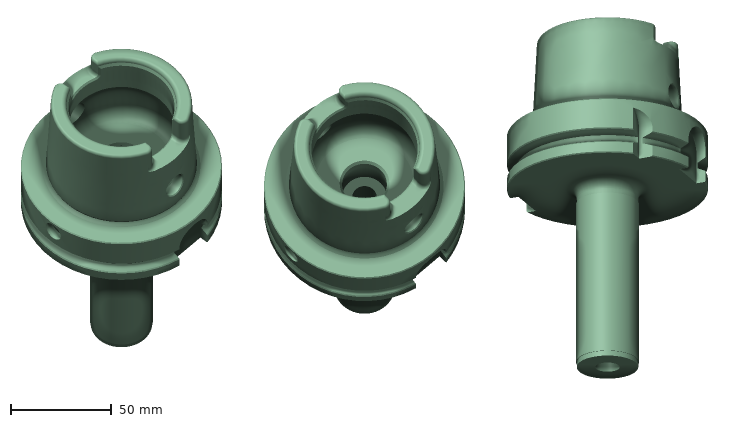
import cadquery as cq
import math

total_height = 173.9
arbor_length = 95.0
flange_height = 29.0
flange_radius = 50.0
flange_edge_chamfer = 0.5

groove_top_z = 107.8
groove_height = 6.8
groove_wall_height = 1.9
groove_floor_radius = 45.7

taper_base_radius = 37.5
taper_top_radius = 35.1
relief_radius = 37.0
relief_mouth_radius = 39.3
relief_mid_height = 1.0
relief_height = 2.3
rim_rounding = 1.5
rim_band_height = 1.7

bore_radius = 26.5
clamp_radius = 31.3
clamp_top_z = 153.5
clamp_floor_z = 127.3
clamp_floor_fillet = 6.8
mouth_radius = 29.5
mouth_rounding = 2.3
mouth_cone_height = 1.4

thread_radius = 11.1
thread_chamfer = 1.2
thread_depth = 17.4
passage_radius = 6.0

drive_slot_width = 20.3
drive_slot_corner = 3.5
drive_slot_floor_fillet = 2.0
drive_slot_edge_chamfer = 0.9
shallow_slot_depth = 10.0
deep_slot_depth = 15.0

cross_hole_radius = 6.0
cross_hole_z = 139.1
cross_hole_chamfer = 0.5

key_slot_width = 20.5
key_slot_top_z = 120.0
key_slot_floor_x = 44.0
side_notch_floor_x = 31.6
side_notch_edge_y = 31.3

chip_radius = 5.0
chip_depth = 4.5
chip_z = 117.2
chip_vent_radius = 0.7
chip_vent_depth = 3.5

core_radius = 15.3
arbor_root_fillet = 5.0
sleeve_radius = 15.7
sleeve_bottom_z = 2.6
sleeve_top_z = 87.3

gauge_z = arbor_length + flange_height
taper_base_z = gauge_z + relief_height
slot_cut_reach = flange_radius + 8.7


def revolve_profile(profile):
    """Turn a closed (radius, z) outline around the Z axis."""
    return profile.close().revolve(360, (0, 0, 0), (0, 1, 0))


def turned_body():
    """Outer shape of arbor core, flange and taper."""
    lip = flange_edge_chamfer
    groove_bottom_z = groove_top_z - groove_height
    root_z = arbor_length - arbor_root_fillet
    root_mid = arbor_root_fillet * (1 - math.sqrt(0.5))
    outline = (
        cq.Workplane("XZ")
        .moveTo(0, 0)
        .lineTo(core_radius, 0)
        .lineTo(core_radius, root_z)
        .threePointArc(
            (core_radius + root_mid, arbor_length - root_mid),
            (core_radius + arbor_root_fillet, arbor_length),
        )
        .lineTo(flange_radius - lip, arbor_length)
        .lineTo(flange_radius, arbor_length + lip)
        .lineTo(flange_radius, groove_bottom_z - lip)
        .lineTo(flange_radius - lip, groove_bottom_z)
        .lineTo(groove_floor_radius, groove_bottom_z + groove_wall_height)
        .lineTo(groove_floor_radius, groove_top_z - groove_wall_height)
        .lineTo(flange_radius - lip, groove_top_z)
        .lineTo(flange_radius, groove_top_z + lip)
        .lineTo(flange_radius, gauge_z - lip)
        .lineTo(flange_radius - lip, gauge_z)
        .lineTo(relief_mouth_radius, gauge_z)
        .lineTo(relief_radius, gauge_z + relief_mid_height)
        .lineTo(taper_base_radius, taper_base_z)
        .lineTo(taper_top_radius, total_height - rim_band_height)
        .lineTo(taper_top_radius, total_height)
        .lineTo(0, total_height)
    )
    return revolve_profile(outline)


def plain_bore():
    return (
        cq.Workplane("XY", origin=(0, 0, clamp_top_z))
        .circle(bore_radius)
        .extrude(total_height - clamp_top_z)
    )


def clamp_undercut():
    """Widened chamber below the bore, with a large fillet around its floor."""
    cone_height = (clamp_radius - bore_radius) * math.tan(math.radians(30))
    fillet_mid = clamp_floor_fillet * (1 - math.sqrt(0.5))
    outline = (
        cq.Workplane("XZ")
        .moveTo(0, clamp_floor_z)
        .lineTo(clamp_radius - clamp_floor_fillet, clamp_floor_z)
        .threePointArc(
            (clamp_radius - fillet_mid, clamp_floor_z + fillet_mid),
            (clamp_radius, clamp_floor_z + clamp_floor_fillet),
        )
        .lineTo(clamp_radius, clamp_top_z - cone_height)
        .lineTo(bore_radius, clamp_top_z)
        .lineTo(0, clamp_top_z)
    )
    return revolve_profile(outline)


def bore_mouth():
    """Rounded rim followed by a short cone down to the bore."""
    cone_top_radius = mouth_radius - mouth_rounding
    cone_top_z = total_height - mouth_rounding
    round_mid = mouth_rounding * (1 - math.sqrt(0.5))
    outline = (
        cq.Workplane("XZ")
        .moveTo(0, total_height)
        .lineTo(mouth_radius, total_height)
        .threePointArc(
            (cone_top_radius + round_mid, total_height - round_mid),
            (cone_top_radius, cone_top_z),
        )
        .lineTo(bore_radius, cone_top_z - mouth_cone_height)
        .lineTo(0, cone_top_z - mouth_cone_height)
    )
    return revolve_profile(outline)


def coolant_passage():
    """Threaded seat with a chamfered entry and the hole down through the arbor."""
    seat_z = clamp_floor_z - thread_depth
    outline = (
        cq.Workplane("XZ")
        .lineTo(passage_radius, 0)
        .lineTo(passage_radius, seat_z)
        .lineTo(thread_radius, seat_z)
        .lineTo(thread_radius, clamp_floor_z - thread_chamfer)
        .lineTo(thread_radius + thread_chamfer, clamp_floor_z)
        .lineTo(0, clamp_floor_z)
    )
    return revolve_profile(outline)


def drive_slot(side, depth):
    """Slot through the rim toward side * X that flares out to the taper surface."""
    half_width = drive_slot_width / 2
    centre_y = half_width + drive_slot_corner
    centre_x = math.sqrt((taper_top_radius - drive_slot_corner) ** 2 - centre_y**2)
    flare = math.atan2(centre_y, centre_x)

    def corner_point(angle):
        return (
            centre_x + drive_slot_corner * math.cos(angle),
            centre_y + drive_slot_corner * math.sin(angle),
        )

    arc_mid = corner_point((flare - math.pi / 2) / 2)
    arc_end = corner_point(flare)
    outer_x = slot_cut_reach * math.cos(flare)
    outer_y = slot_cut_reach * math.sin(flare)
    cutter = (
        cq.Workplane("XY", origin=(0, 0, total_height - depth))
        .moveTo(0, half_width)
        .lineTo(centre_x, half_width)
        .threePointArc(arc_mid, arc_end)
        .lineTo(outer_x, outer_y)
        .lineTo(outer_x, -outer_y)
        .lineTo(arc_end[0], -arc_end[1])
        .threePointArc((arc_mid[0], -arc_mid[1]), (centre_x, -half_width))
        .lineTo(0, -half_width)
        .close()
        .extrude(depth + 1.7)
        .faces("<Z")
        .edges("not(<X or >X)")
        .fillet(drive_slot_floor_fillet)
    )
    if side < 0:
        cutter = cutter.rotate((0, 0, 0), (0, 0, 1), 180)
    return cutter


def key_slot(floor_x, centre_y, side):
    """Round-topped slot in the flange with a flat floor facing side * X."""
    radius = key_slot_width / 2
    arch_z = key_slot_top_z - radius
    return (
        cq.Workplane("YZ", origin=(side * floor_x, 0, 0))
        .moveTo(centre_y - radius, arbor_length)
        .lineTo(centre_y - radius, arch_z)
        .threePointArc((centre_y, key_slot_top_z), (centre_y + radius, arch_z))
        .lineTo(centre_y + radius, arbor_length)
        .close()
        .extrude(side * slot_cut_reach)
    )


def chip_pocket():
    floor_y = chip_depth - flange_radius
    pocket = (
        cq.Workplane("XZ", origin=(0, floor_y, chip_z))
        .circle(chip_radius)
        .extrude(chip_depth + 1.7)
    )
    vent = (
        cq.Workplane("XZ", origin=(0, floor_y, chip_z))
        .circle(chip_vent_radius)
        .extrude(-chip_vent_depth)
    )
    return pocket.union(vent)


def cross_hole():
    return (
        cq.Workplane("YZ", origin=(-slot_cut_reach, 0, cross_hole_z))
        .circle(cross_hole_radius)
        .extrude(2 * slot_cut_reach)
    )


def round_rim(body):
    """Round the top outer edges, along the taper and around the ends of both lugs."""
    rim = body.faces(">Z").edges().filter(
        lambda edge: not (edge.geomType() == "CIRCLE" and abs(edge.radius() - bore_radius) < 0.02)
    )
    return rim.fillet(rim_rounding)


def chamfer_slot_edges(body, side):
    """Break the edges where the drive slot on side * X meets the bore."""
    half_width = drive_slot_width / 2
    near_x = math.sqrt(bore_radius**2 - half_width**2) - 0.2
    x_range = sorted((side * near_x, side * (bore_radius - 0.2)))
    region = cq.selectors.BoxSelector(
        (x_range[0], -half_width - 0.2, total_height - deep_slot_depth - 0.2),
        (x_range[1], half_width + 0.2, total_height - rim_rounding),
    )
    return body.edges(region).chamfer(drive_slot_edge_chamfer)


def chamfer_cross_hole(body):
    """Break the rims of the cross hole on the taper surface."""
    reach = cross_hole_radius + 0.3
    for side in (-1, 1):
        x_range = sorted((side * clamp_radius * 1.1, side * flange_radius))
        region = cq.selectors.BoxSelector(
            (x_range[0], -reach, cross_hole_z - reach),
            (x_range[1], reach, cross_hole_z + reach),
            boundingbox=True,
        )
        body = body.edges(region).chamfer(cross_hole_chamfer)
    return body


def make_housing():
    body = turned_body().cut(plain_bore())
    for side, depth in ((-1, shallow_slot_depth), (1, deep_slot_depth)):
        body = body.cut(drive_slot(side, depth))
    for side in (-1, 1):
        body = chamfer_slot_edges(body, side)
    body = round_rim(body)
    body = body.cut(bore_mouth())
    body = body.cut(clamp_undercut())
    body = body.cut(cross_hole())
    body = chamfer_cross_hole(body)
    body = body.cut(coolant_passage())
    for side in (-1, 1):
        body = body.cut(key_slot(key_slot_floor_x, 0, side))
    side_notch_centre_y = side_notch_edge_y + key_slot_width / 2
    body = body.cut(key_slot(side_notch_floor_x, side_notch_centre_y, -1))
    return body.cut(chip_pocket())


def make_sleeve():
    """Thin cylindrical sleeve fitted over the arbor core."""
    return (
        cq.Workplane("XY", origin=(0, 0, sleeve_bottom_z))
        .circle(sleeve_radius)
        .circle(core_radius)
        .extrude(sleeve_top_z - sleeve_bottom_z)
    )


housing = make_housing()
sleeve = make_sleeve()
result = cq.Compound.makeCompound([housing.val(), sleeve.val()])